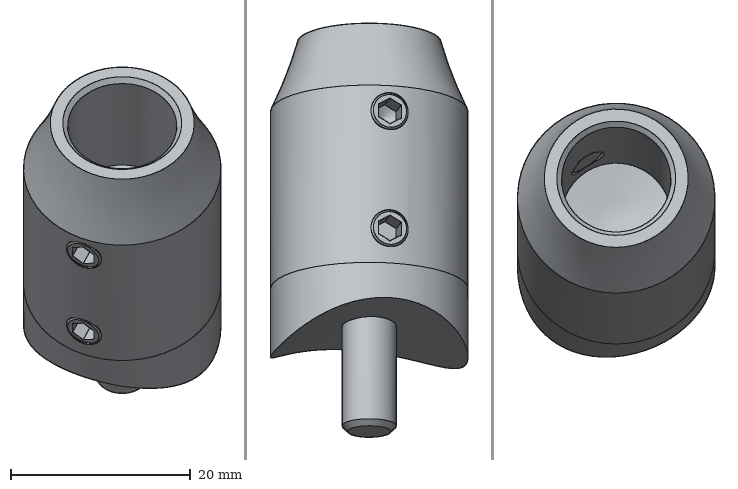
import cadquery as cq
import math

total_height = 44.95
outer_diameter = 22.0
outer_radius = outer_diameter / 2

holder_height = 28.5
nose_height = 8.0
nose_top_radius = 8.0
nose_curve_radius = 49.45
bore_radius = 6.05
bore_chamfer = 0.55
bore_depth = 15.0
bore_floor_angle = 160.0

saddle_height = 4.0
rail_radius = 16.85

stud_radius = 3.0
stud_chamfer = 0.65
stud_engagement = 6.95

screw_radius = 2.1
screw_chamfer = 0.22
hex_sides = 6
hex_across_flats = 2.55
hex_depth = 2.7
drill_point_angle = 118.0
upper_screw_drop = 10.92
screw_spacing = 13.55

holder_bottom = total_height - holder_height
nose_bottom = total_height - nose_height
saddle_crown = holder_bottom - saddle_height
rail_center_z = saddle_crown - rail_radius
stud_top = holder_bottom + stud_engagement
upper_screw_z = total_height - upper_screw_drop
lower_screw_z = upper_screw_z - screw_spacing

upper_screw_length = outer_radius - bore_radius
lower_screw_length = outer_radius - stud_radius


def cone_height(radius, included_angle):
    """Height of a cone from its base radius and included angle in degrees."""
    return radius / math.tan(math.radians(included_angle / 2))


def on_screw_axis(z, solid):
    """Move a solid built along +Z from the origin to point inwards (+Y) from the barrel surface."""
    return solid.rotate((0, 0, 0), (1, 0, 0), -90).translate((0, -outer_radius, z))


def nose_mid_point():
    """Middle point (radius, z) of the concave nose curve, found from its chord and sagitta."""
    run = outer_radius - nose_top_radius
    chord = math.hypot(run, nose_height)
    sagitta = nose_curve_radius - math.sqrt(nose_curve_radius**2 - (chord / 2) ** 2)
    mid_radius = (outer_radius + nose_top_radius) / 2 - sagitta * nose_height / chord
    mid_z = total_height - nose_height / 2 - sagitta * run / chord
    return mid_radius, mid_z


def make_screw_hole(z, length):
    return on_screw_axis(z, cq.Workplane("XY").circle(screw_radius).extrude(length))


def make_bore():
    """Chamfered blind bore with a shallow conical floor."""
    floor_z = total_height - bore_depth
    return (
        cq.Workplane("XZ")
        .moveTo(0, total_height)
        .lineTo(bore_radius + bore_chamfer, total_height)
        .lineTo(bore_radius, total_height - bore_chamfer)
        .lineTo(bore_radius, floor_z)
        .lineTo(0, floor_z - cone_height(bore_radius, bore_floor_angle))
        .close()
        .revolve(360, (0, 0), (0, 1))
    )


def make_stud_hole():
    return cq.Workplane("XY").circle(stud_radius).extrude(stud_top)


def make_holder():
    blank = (
        cq.Workplane("XZ")
        .moveTo(0, holder_bottom)
        .lineTo(outer_radius, holder_bottom)
        .lineTo(outer_radius, nose_bottom)
        .threePointArc(nose_mid_point(), (nose_top_radius, total_height))
        .lineTo(0, total_height)
        .close()
        .revolve(360, (0, 0), (0, 1))
    )
    return (
        blank.cut(make_bore())
        .cut(make_stud_hole())
        .cut(make_screw_hole(upper_screw_z, outer_radius))
        .cut(make_screw_hole(lower_screw_z, outer_radius))
    )


def make_saddle():
    blank = (
        cq.Workplane("XY")
        .workplane(offset=rail_center_z)
        .circle(outer_radius)
        .extrude(holder_bottom - rail_center_z)
    )
    rail = (
        cq.Workplane("XZ")
        .center(0, rail_center_z)
        .circle(rail_radius)
        .extrude(outer_radius, both=True)
    )
    return blank.cut(rail).cut(make_stud_hole())


def make_stud():
    return cq.Workplane("XY").circle(stud_radius).extrude(stud_top).faces("<Z").chamfer(stud_chamfer)


def make_hex_socket(pointed_floor):
    """Hexagonal socket with two flats parallel to Z; a pointed floor adds a drill point."""
    corner_radius = hex_across_flats / 2 / math.cos(math.pi / hex_sides)
    point_height = cone_height(corner_radius, drill_point_angle) if pointed_floor else 0
    socket = (
        cq.Workplane("XY")
        .polygon(hex_sides, 2 * corner_radius)
        .extrude(hex_depth + point_height)
        .rotate((0, 0, 0), (0, 0, 1), 180 / hex_sides)
    )
    if not pointed_floor:
        return socket
    drill = (
        cq.Workplane("XZ")
        .lineTo(corner_radius, 0)
        .lineTo(corner_radius, hex_depth)
        .lineTo(0, hex_depth + point_height)
        .close()
        .revolve(360, (0, 0), (0, 1))
    )
    return socket.intersect(drill)


def make_set_screw(z, length, pointed_floor):
    blank = cq.Workplane("XY").circle(screw_radius).extrude(length).faces("<Z").chamfer(screw_chamfer)
    return on_screw_axis(z, blank.cut(make_hex_socket(pointed_floor)))


holder = make_holder()
saddle = make_saddle()
stud = make_stud()
set_screws = [
    make_set_screw(z, length, pointed_floor)
    for z, length, pointed_floor in (
        (upper_screw_z, upper_screw_length, True),
        (lower_screw_z, lower_screw_length, False),
    )
]

result = cq.Compound.makeCompound(
    [holder.val(), saddle.val(), stud.val(), *[screw.val() for screw in set_screws]]
)